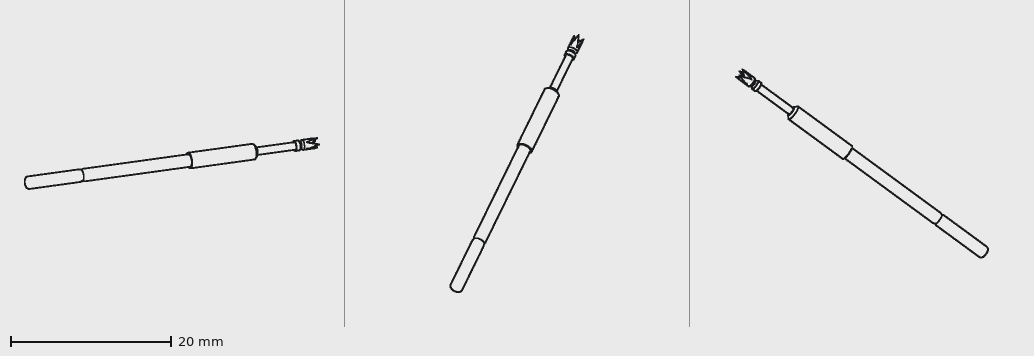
import cadquery as cq
import math

length = 39.3
front_y = length / 2

sleeve_radius = 2.0 / 2
tail_radius = 1.6 / 2
plunger_radius = 1.0 / 2
head_radius = 1.3 / 2

head_end = 2.0
collar_start = 2.55
collar_end = 3.05
sleeve_start = 8.3
sleeve_end = 17.3
ring_groove_start = 31.5

sleeve_chamfer = 0.35
tail_round = 0.4
neck_depth = 0.2
ring_groove_width = 0.6
ring_groove_depth = 0.08
crown_points = 4
point_pitch = 360 / crown_points
crown_centre_depth = 0.85
crown_rim_depth = 1.65


def cylinder(radius, start, end):
    """Solid rod on the Y axis between two distances back from the tips."""
    plane = cq.Plane(origin=(0, front_y - start, 0), xDir=(1, 0, 0), normal=(0, -1, 0))
    return cq.Workplane(plane).circle(radius).extrude(end - start)


def v_groove(radius, depth, start, end):
    """Ring with a triangular section that turns a V-groove into a rod."""
    section = [
        (radius, front_y - start),
        (radius - depth, front_y - (start + end) / 2),
        (radius, front_y - end),
    ]
    return cq.Workplane("XY").polyline(section).close().revolve(360, (0, 0, 0), (0, 1, 0))


def crown_valley(angle):
    """V-shaped valley from the axis outwards, its floor falling towards the rim."""
    tip_offset = head_radius * math.sin(math.radians(point_pitch / 2))
    floor_slope = (crown_rim_depth - crown_centre_depth) / head_radius
    half_width_per_depth = tip_offset / (crown_centre_depth + floor_slope * tip_offset)

    def section(depth):
        half_width = depth * half_width_per_depth
        return [(-half_width, front_y), (0, front_y - depth), (half_width, front_y)]

    reach = 2 * head_radius
    valley = (
        cq.Workplane("XY")
        .polyline(section(crown_centre_depth))
        .close()
        .workplane(offset=reach)
        .polyline(section(crown_centre_depth + floor_slope * reach))
        .close()
        .loft(ruled=True)
    )
    return valley.rotate((0, 0, 0), (0, 1, 0), angle)


head = cylinder(head_radius, 0, collar_end)
head = head.cut(v_groove(head_radius, neck_depth, head_end, collar_start))
for i in range(crown_points):
    head = head.cut(crown_valley((i + 0.5) * point_pitch))
plunger = cylinder(plunger_radius, collar_end, sleeve_start)

sleeve = cylinder(sleeve_radius, sleeve_start, sleeve_end).faces(">Y").edges().chamfer(sleeve_chamfer)
tail = cylinder(tail_radius, sleeve_end, length).faces("<Y").edges().fillet(tail_round)
ring_groove_end = ring_groove_start + ring_groove_width
tail = tail.cut(v_groove(tail_radius, ring_groove_depth, ring_groove_start, ring_groove_end))

result = head.union(plunger).union(sleeve).union(tail)